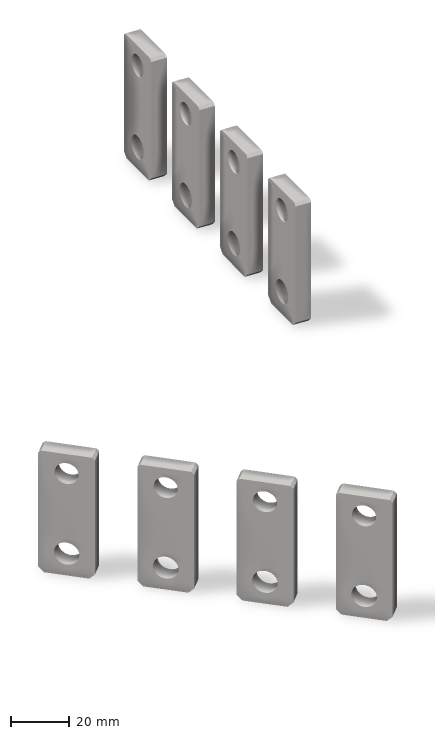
import cadquery as cq

plate_count = 4
plate_pitch = 35.0
plate_width = 20.0
plate_thickness = 6.0
plate_height = 50.0

top_chamfer = 1.0
bottom_chamfer = 2.0

upper_hole_diameter = 8.5
lower_hole_diameter = 9.0
upper_hole_from_top = 8.0
lower_hole_from_bottom = 9.0


def drill(plate, height, diameter):
    """Cut a hole along Y through the plate, centred on its width."""
    drill_bit = (
        cq.Workplane("XZ")
        .center(plate_width / 2, height)
        .circle(diameter / 2)
        .extrude(-plate_thickness)
    )
    return plate.cut(drill_bit)


def make_plate():
    """One plate with its lower left front corner at the origin."""
    plate = cq.Workplane("XY").box(plate_width, plate_thickness, plate_height, centered=False)
    plate = plate.faces(">Z").edges("|Y").chamfer(top_chamfer)
    plate = plate.faces("<Z").edges("|Y").chamfer(bottom_chamfer)
    plate = drill(plate, plate_height - upper_hole_from_top, upper_hole_diameter)
    return drill(plate, lower_hole_from_bottom, lower_hole_diameter)


plates = []
for index in range(plate_count):
    plate = make_plate().translate((index * plate_pitch, 0, 0))
    plates.append(plate.solids().val())

result = cq.Compound.makeCompound(plates)